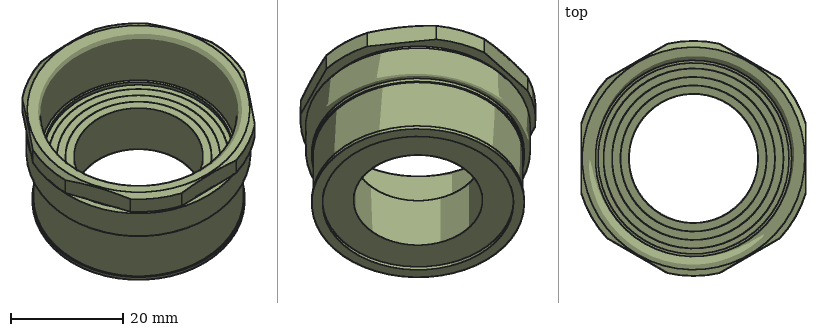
import cadquery as cq
import math

TOTAL_HEIGHT = 24.6
FLANGE_RADIUS = 20.95
ACROSS_FLATS = 40.0
FLANGE_BOTTOM = 20.55
FLANGE_TOP_RADIUS = 19.8
FLANGE_CHAMFER_HEIGHT = 0.63
COLLAR_RADIUS = ACROSS_FLATS / 2
COLLAR_TOP = 19.05
COLLAR_FILLET = 0.6
SCREW_BORE_RADIUS = 17.45
MOUTH_FILLET = 1.5

WASHER_OUTER_RADIUS = 18.95
WASHER_INNER_RADIUS = 17.0
WASHER_THICKNESS = 0.75
STACK_HEIGHT = 12.55
SEAL_OUTER_RADIUS = 18.7
SEAL_BORE_RADIUS = 11.48
SLIT_COUNT = 3
SLIT_PITCH = 1.5
SLIT_WIDTH = 0.05
SLIT_DEPTH = 4.2
SEAL_HEIGHT = STACK_HEIGHT - 2 * WASHER_THICKNESS

NECK_RADIUS = WASHER_OUTER_RADIUS


def make_tube(outer_radius, inner_radius, bottom, height):
    """Plain ring about Z, standing on the height `bottom`."""
    return (
        cq.Workplane("XY")
        .workplane(offset=bottom)
        .circle(outer_radius)
        .circle(inner_radius)
        .extrude(height)
    )


def make_hex_flange():
    """Hexagon with flats facing +X and -X, its corners turned round and chamfered on top."""
    flange_height = TOTAL_HEIGHT - FLANGE_BOTTOM
    corner_diameter = ACROSS_FLATS / math.cos(math.pi / 6)
    hexagon = (
        cq.Workplane("XY")
        .workplane(offset=FLANGE_BOTTOM)
        .transformed(rotate=(0, 0, 30))
        .polygon(6, corner_diameter)
        .extrude(flange_height)
    )
    turned_blank = (
        cq.Workplane("XZ")
        .moveTo(0, FLANGE_BOTTOM)
        .lineTo(FLANGE_RADIUS, FLANGE_BOTTOM)
        .lineTo(FLANGE_RADIUS, TOTAL_HEIGHT - FLANGE_CHAMFER_HEIGHT)
        .lineTo(FLANGE_TOP_RADIUS, TOTAL_HEIGHT)
        .lineTo(0, TOTAL_HEIGHT)
        .close()
        .revolve(360, (0, 0, 0), (0, 1, 0))
    )
    return hexagon.intersect(turned_blank)


def make_pressure_screw():
    """Hex flange, undercut neck and collar around a bore with a rounded mouth."""
    collar = (
        cq.Workplane("XY")
        .workplane(offset=STACK_HEIGHT)
        .circle(COLLAR_RADIUS)
        .extrude(COLLAR_TOP - STACK_HEIGHT)
        .faces("<Z")
        .edges()
        .fillet(COLLAR_FILLET)
    )
    neck = (
        cq.Workplane("XY")
        .workplane(offset=COLLAR_TOP)
        .circle(NECK_RADIUS)
        .extrude(FLANGE_BOTTOM - COLLAR_TOP)
    )
    bore = (
        cq.Workplane("XY")
        .workplane(offset=STACK_HEIGHT)
        .circle(SCREW_BORE_RADIUS)
        .extrude(TOTAL_HEIGHT - STACK_HEIGHT)
    )
    screw = collar.union(neck).union(make_hex_flange()).cut(bore)
    mouth_edge = cq.selectors.RadiusNthSelector(0)
    return screw.faces(">Z").edges(mouth_edge).fillet(MOUTH_FILLET)


def make_washer(bottom):
    """Flat washer against one end of the seal."""
    return make_tube(WASHER_OUTER_RADIUS, WASHER_INNER_RADIUS, bottom, WASHER_THICKNESS)


def make_seal():
    """Thick sealing ring between the washers, with fine concentric slits in its top face."""
    seal = make_tube(SEAL_OUTER_RADIUS, SEAL_BORE_RADIUS, WASHER_THICKNESS, SEAL_HEIGHT)
    slit_bottom = WASHER_THICKNESS + SEAL_HEIGHT - SLIT_DEPTH
    for index in range(1, SLIT_COUNT + 1):
        slit_radius = SEAL_BORE_RADIUS + index * SLIT_PITCH
        slit = make_tube(slit_radius + SLIT_WIDTH, slit_radius, slit_bottom, SLIT_DEPTH)
        seal = seal.cut(slit)
    return seal


pressure_screw = make_pressure_screw()
seal = make_seal()
washer_bottoms = [0, STACK_HEIGHT - WASHER_THICKNESS]
washers = [make_washer(bottom).val() for bottom in washer_bottoms]

result = cq.Compound.makeCompound([*pressure_screw.solids().vals(), *seal.solids().vals(), *washers])